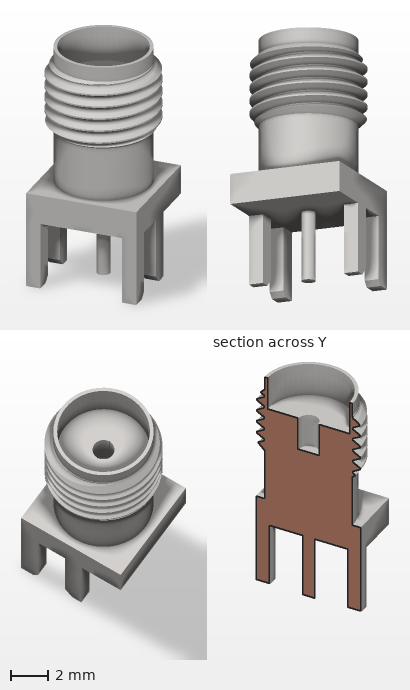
import cadquery as cq
import math

BASE_SIDE = 6.35
BASE_HEIGHT = 1.67

BARREL_DIAMETER = 5.35
BARREL_HEIGHT = 7.85
SOCKET_DIAMETER = 4.95
SOCKET_DEPTH = 2.0
CONTACT_HOLE_DIAMETER = 1.17
CONTACT_SLIT_SPAN = 1.27
CONTACT_SLIT_WIDTH = 0.06
CONTACT_HOLE_DEPTH = 2.0

THREAD_PITCH = 25.4 / 36
THREAD_DIAMETER = 6.32
THREAD_ROOT_DIAMETER = 5.39
THREAD_LENGTH = 3.95
THREAD_TOP_GAP = 0.82
THREAD_FLANK_ANGLE = 30.0
THREAD_CREST_WIDTH = THREAD_PITCH / 8
THREAD_START_ANGLE = 189.0
THREAD_TURNS = 6
CUTTER_OVERSHOOT = 0.1
CUT_TOLERANCE = 1e-4

LEG_LENGTH = 3.81
LEG_THICKNESS = 0.82
FRONT_LEG_WIDTH = 1.08
FRONT_LEG_CHAMFER = 0.30
REAR_LEG_WIDTH = 1.04
REAR_LEG_CHAMFER = 0.45
REAR_LEG_BACK_Y = 0.66
PIN_DIAMETER = 0.76

RIM_Z = BASE_HEIGHT + BARREL_HEIGHT
THREAD_TOP_Z = RIM_Z - THREAD_TOP_GAP
THREAD_BOTTOM_Z = THREAD_TOP_Z - THREAD_LENGTH


def cylinder(diameter, bottom_z, height):
    return cq.Workplane("XY").workplane(offset=bottom_z).circle(diameter / 2).extrude(height)


def make_base():
    return cq.Workplane("XY").rect(BASE_SIDE, BASE_SIDE).extrude(BASE_HEIGHT)


def make_thread_blank():
    """Collar with 45 degree ends, running down to the barrel axis."""
    barrel_radius = BARREL_DIAMETER / 2
    crest_radius = THREAD_DIAMETER / 2
    end_height = crest_radius - barrel_radius
    return (
        cq.Workplane("XZ")
        .moveTo(0, THREAD_BOTTOM_Z)
        .lineTo(barrel_radius, THREAD_BOTTOM_Z)
        .lineTo(crest_radius, THREAD_BOTTOM_Z + end_height)
        .lineTo(crest_radius, THREAD_TOP_Z - end_height)
        .lineTo(barrel_radius, THREAD_TOP_Z)
        .lineTo(0, THREAD_TOP_Z)
        .close()
        .revolve(360, (0, 0, 0), (0, 1, 0))
    )


def make_thread_groove():
    """Helical V cutter with a flat root, running from the collar's lower end out past its top.

    Beyond the crest its sides are straight, so neighbouring turns stay apart.
    """
    root_radius = THREAD_ROOT_DIAMETER / 2
    crest_radius = THREAD_DIAMETER / 2
    outer_radius = crest_radius + CUTTER_OVERSHOOT
    flank_slope = math.tan(math.radians(THREAD_FLANK_ANGLE))
    crest_half_gap = (THREAD_PITCH - THREAD_CREST_WIDTH) / 2
    root_half_width = crest_half_gap - (crest_radius - root_radius) * flank_slope
    helix = cq.Wire.makeHelix(THREAD_PITCH, THREAD_TURNS * THREAD_PITCH, root_radius)
    groove = (
        cq.Workplane("XZ")
        .moveTo(root_radius, -root_half_width)
        .lineTo(crest_radius, -crest_half_gap)
        .lineTo(outer_radius, -crest_half_gap)
        .lineTo(outer_radius, crest_half_gap)
        .lineTo(crest_radius, crest_half_gap)
        .lineTo(root_radius, root_half_width)
        .close()
        .sweep(cq.Workplane(obj=helix), isFrenet=True)
    )
    groove = groove.rotate((0, 0, 0), (0, 0, 1), THREAD_START_ANGLE)
    return groove.translate((0, 0, THREAD_BOTTOM_Z))


def make_leg(left_x, front_y, width, chamfer, chamfer_edge):
    leg = (
        cq.Workplane("XY")
        .box(LEG_THICKNESS, width, LEG_LENGTH, centered=False)
        .translate((left_x, front_y, -LEG_LENGTH))
    )
    return leg.faces("<Z").edges(chamfer_edge).chamfer(chamfer)


def add_legs(body):
    """A chamfered front and rear leg, flush with each X side of the base."""
    half_side = BASE_SIDE / 2
    rear_leg_front_y = REAR_LEG_BACK_Y - REAR_LEG_WIDTH
    for left_x in (-half_side, half_side - LEG_THICKNESS):
        body = body.union(make_leg(left_x, -half_side, FRONT_LEG_WIDTH, FRONT_LEG_CHAMFER, ">Y"))
        body = body.union(make_leg(left_x, rear_leg_front_y, REAR_LEG_WIDTH, REAR_LEG_CHAMFER, "<Y"))
    return body


def cut_socket(body):
    """Wide socket with a central contact hole that has a fine slit on its +X and -X sides."""
    socket_floor_z = RIM_Z - SOCKET_DEPTH
    hole_bottom_z = socket_floor_z - CONTACT_HOLE_DEPTH
    socket = cylinder(SOCKET_DIAMETER, socket_floor_z, SOCKET_DEPTH)
    contact_hole = cylinder(CONTACT_HOLE_DIAMETER, hole_bottom_z, CONTACT_HOLE_DEPTH)
    contact_slits = (
        cq.Workplane("XY")
        .workplane(offset=hole_bottom_z)
        .rect(CONTACT_SLIT_SPAN, CONTACT_SLIT_WIDTH)
        .extrude(CONTACT_HOLE_DEPTH)
    )
    return body.cut(socket).cut(contact_hole.union(contact_slits))


threaded_collar = make_thread_blank().cut(make_thread_groove(), tol=CUT_TOLERANCE)
connector = make_base().union(cylinder(BARREL_DIAMETER, BASE_HEIGHT, BARREL_HEIGHT))
connector = connector.union(threaded_collar)
connector = cut_socket(connector)
connector = add_legs(connector)
connector = connector.union(cylinder(PIN_DIAMETER, -LEG_LENGTH, LEG_LENGTH))

result = connector.val().Solids()[0]